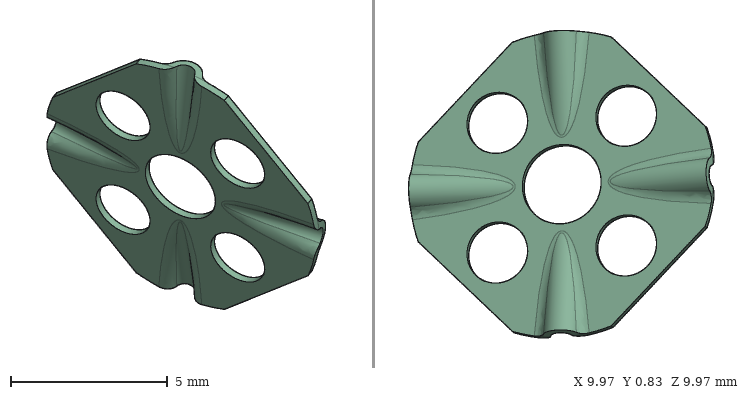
import cadquery as cq
import math

thickness = 0.25
rim_diameter = 10.0
rim_radius = rim_diameter / 2
flat_distance = 4.5
repeat_count = 4
repeat_angle = 360 / repeat_count
center_hole_radius = 1.3
side_hole_radius = 1.0
side_hole_circle = 3.0

bead_rise = 0.58
bead_start = 1.57
bead_end = 4.91
crown_radius = 0.35
ridge_root_radius = 0.4
groove_root_radius = 0.5
bead_slope = bead_rise / (bead_end - bead_start)
bead_tilt = math.degrees(math.atan(bead_slope))

blank_half_width = 5.58
blank_depth = 1.2
blank_height = 1.2


def disc(radius, depth, taper=0):
    """Disc growing toward +Y from Y = 0."""
    return cq.Workplane("XZ").circle(radius).extrude(-depth, taper=taper)


def blank(start_y, depth):
    """Oversized square block growing toward +Y from a start plane."""
    width = 2 * blank_half_width
    return cq.Workplane("XZ").rect(width, width).extrude(-depth).translate((0, start_y, 0))


def bead_cylinder(face_y, radius):
    """Tilted cylinder whose crest line leaves the flat face at the bead's inner tip."""
    axis_y = face_y - radius / math.cos(math.radians(bead_tilt))
    return (
        cq.Workplane("XY")
        .circle(radius)
        .extrude(2 * blank_half_width, both=True)
        .rotate((0, 0, 0), (1, 0, 0), -bead_tilt)
        .translate((0, axis_y, bead_start))
    )


def formed_face(face_y, crest_radius, flare_radius):
    """Solid whose +Y side is one formed face of the sheet: a flat with four flared beads."""
    base = blank(face_y - blank_depth, blank_depth)
    reach = blank(face_y - blank_depth, blank_depth + blank_height)
    bead = bead_cylinder(face_y, crest_radius).intersect(reach)
    for i in range(repeat_count):
        base = base.union(bead.rotate((0, 0, 0), (0, 1, 0), repeat_angle * i))
    flatness = 0.001
    roots = [
        edge
        for edge in base.edges("%ELLIPSE").vals()
        if abs(edge.BoundingBox().ymax - face_y) < flatness and edge.BoundingBox().ylen < flatness
    ]
    return base.newObject(roots).fillet(flare_radius)


outer_side = formed_face(thickness, crown_radius + thickness, ridge_root_radius)
inner_side = formed_face(0, crown_radius, groove_root_radius)
body = outer_side.cut(inner_side)

upper_rim = disc(rim_radius, blank_height, bead_tilt).translate((0, thickness, 0))
rim = disc(rim_radius, thickness).union(upper_rim)
body = body.intersect(rim)

flat_square = (
    cq.Workplane("XZ")
    .rect(2 * flat_distance, 2 * flat_distance)
    .extrude(-(thickness + blank_height))
    .rotate((0, 0, 0), (0, 1, 0), repeat_angle / 2)
)
body = body.intersect(flat_square)

center_hole = disc(center_hole_radius, thickness)
side_holes = (
    cq.Workplane("XZ")
    .polarArray(side_hole_circle, repeat_angle / 2, 360, repeat_count)
    .circle(side_hole_radius)
    .extrude(-thickness)
)
result = body.cut(center_hole).cut(side_holes)